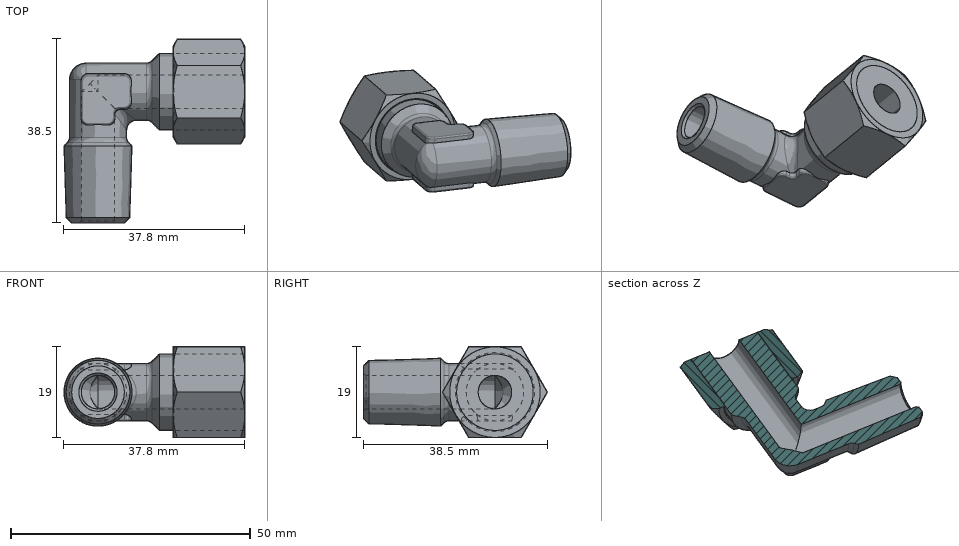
import cadquery as cq
import math

arm_radius = 6.0
neck_fillet = 1.5
elbow_fillet = 2.0
heel_radius = 3.5
bore_radius = 3.5
drill_tip_ratio = 0.9

collar_radius = 8.0
collar_start = 12.8

thread_length = 15.0
thread_large_radius = 7.1
thread_small_radius = 6.65
thread_end = 27.5
thread_end_chamfer = 1.15
thread_mouth_radius = 4.0
thread_mouth_depth = 0.5

nut_across_flats = 19.0
nut_length = 15.0
nut_end = 30.7
nut_face_radius = 9.45
nut_chamfer_angle = 30.0
nut_mouth_radius = 8.27
nut_mouth_depth = 0.25

pad_height = 6.05
pad_half_width = 3.55
pad_reach = 7.0
pad_corner_radius = 1.5
pad_notch_radius = 1.0
pad_edge_fillet = 0.3
pad_draft = 10.0

heel_offset = arm_radius - heel_radius
collar_rise = collar_radius - arm_radius
thread_start = thread_end - thread_end_chamfer - thread_length
thread_rise = thread_large_radius - arm_radius
nut_start = nut_end - nut_length
nut_corner_radius = nut_across_flats / 2 / math.cos(math.pi / 6)
nut_chamfer_depth = (nut_corner_radius - nut_face_radius) * math.tan(math.radians(nut_chamfer_angle))


def along_x(profile_points):
    """Solid of revolution about X from (x, radius) points; the ends close on the axis."""
    return cq.Workplane("XY").polyline(profile_points).close().revolve(360, (0, 0, 0), (1, 0, 0))


def swapped_to_threaded_arm(body):
    """Reflect a body built along +X so that it lies along -Y."""
    return body.mirror((1, 1, 0))


def arm(shoulder_end, shoulder_rise, end_points):
    """Arm along +X: plain cylinder, filleted neck, 45 degree shoulder, then the given end."""
    shoulder_foot = shoulder_end - shoulder_rise
    tangent_length = neck_fillet * math.tan(math.pi / 8)
    fillet_start = (shoulder_foot - tangent_length, arm_radius)
    fillet_middle = (
        fillet_start[0] + neck_fillet * math.sin(math.pi / 8),
        arm_radius + neck_fillet * (1 - math.cos(math.pi / 8)),
    )
    fillet_end = (
        fillet_start[0] + neck_fillet * math.sin(math.pi / 4),
        arm_radius + neck_fillet * (1 - math.cos(math.pi / 4)),
    )
    profile = (
        cq.Workplane("XY")
        .moveTo(-heel_offset, 0)
        .lineTo(-heel_offset, arm_radius)
        .lineTo(*fillet_start)
        .threePointArc(fillet_middle, fillet_end)
        .lineTo(shoulder_end, arm_radius + shoulder_rise)
    )
    for point in end_points:
        profile = profile.lineTo(*point)
    return profile.close().revolve(360, (0, 0, 0), (1, 0, 0))


def heel():
    """Outer corner: the arm section beyond the heel axis, turned a quarter about that axis."""
    half_height = math.sqrt(arm_radius**2 - heel_offset**2)
    section = (
        cq.Workplane("XZ", origin=(-heel_offset, heel_offset, 0))
        .moveTo(0, -half_height)
        .threePointArc((-heel_radius, 0), (0, half_height))
        .close()
    )
    return section.revolve(90, (0, 0, 0), (0, -1, 0))


def pad_tube_leg():
    """Pad leg along the tube arm, with long sides that lean in towards the pad face."""
    root_half_width = pad_half_width + pad_height * math.tan(math.radians(pad_draft))
    section = [
        (-root_half_width, 0),
        (root_half_width, 0),
        (pad_half_width, pad_height),
        (-pad_half_width, pad_height),
    ]
    return (
        cq.Workplane("YZ", origin=(-pad_half_width, 0, 0))
        .polyline(section)
        .close()
        .extrude(pad_half_width + pad_reach)
        .faces("<X or >X")
        .edges("not |Y")
        .fillet(pad_corner_radius)
    )


def pad_thread_leg():
    """Pad leg along the threaded arm, with upright sides."""
    return (
        cq.Workplane("XY")
        .center(0, -pad_reach / 2)
        .rect(2 * pad_half_width, pad_reach)
        .extrude(pad_height)
        .faces("<Y")
        .edges("|Z")
        .fillet(pad_corner_radius)
    )


def pad():
    """L-shaped pad on the upper half of the elbow, with a rounded edge around its flat face."""
    legs = pad_tube_leg().union(pad_thread_leg()).clean()
    notch = cq.selectors.NearestToPointSelector((pad_half_width, -pad_half_width, pad_height / 2))
    legs = legs.edges(notch).fillet(pad_notch_radius)
    return legs.faces(">Z").edges().fillet(pad_edge_fillet)


def bore(end):
    """Drilled bore along +X with a conical tip behind the crossing of the axes."""
    return along_x([(-drill_tip_ratio * bore_radius, 0), (0, bore_radius), (end, bore_radius), (end, 0)])


def make_elbow():
    tube_arm = arm(collar_start, collar_rise, [(nut_end, collar_radius), (nut_end, 0)])
    threaded_arm = swapped_to_threaded_arm(
        arm(
            thread_start,
            thread_rise,
            [
                (thread_end - thread_end_chamfer, thread_small_radius),
                (thread_end, thread_small_radius - thread_end_chamfer),
                (thread_end, 0),
            ],
        )
    )
    body = tube_arm.union(threaded_arm).union(heel())
    body = body.union(pad()).union(pad().mirror("XY"))
    inner_corner = cq.selectors.NearestToPointSelector((arm_radius, -arm_radius, 0))
    body = body.edges(inner_corner).fillet(elbow_fillet)
    thread_mouth = along_x(
        [
            (thread_end, 0),
            (thread_end, thread_mouth_radius),
            (thread_end - thread_mouth_depth, bore_radius),
            (thread_end - thread_mouth_depth, 0),
        ]
    )
    body = body.cut(bore(nut_end))
    return body.cut(swapped_to_threaded_arm(bore(thread_end).union(thread_mouth)))


def make_nut():
    """Hexagon nut with two opposite corners along Y, chamfered at both ends."""
    hexagon = (
        cq.Workplane("YZ", origin=(nut_start, 0, 0)).polygon(6, 2 * nut_corner_radius).extrude(nut_length)
    )
    chamfer_limit = along_x(
        [
            (nut_start, 0),
            (nut_start, nut_face_radius),
            (nut_start + nut_chamfer_depth, nut_corner_radius),
            (nut_end - nut_chamfer_depth, nut_corner_radius),
            (nut_end, nut_face_radius),
            (nut_end, 0),
        ]
    )
    hole = along_x(
        [
            (nut_start, 0),
            (nut_start, nut_mouth_radius),
            (nut_start + nut_mouth_depth, collar_radius),
            (nut_end, collar_radius),
            (nut_end, 0),
        ]
    )
    return hexagon.intersect(chamfer_limit).cut(hole)


elbow = make_elbow()
nut = make_nut()
result = cq.Compound.makeCompound([elbow.val(), nut.val()])